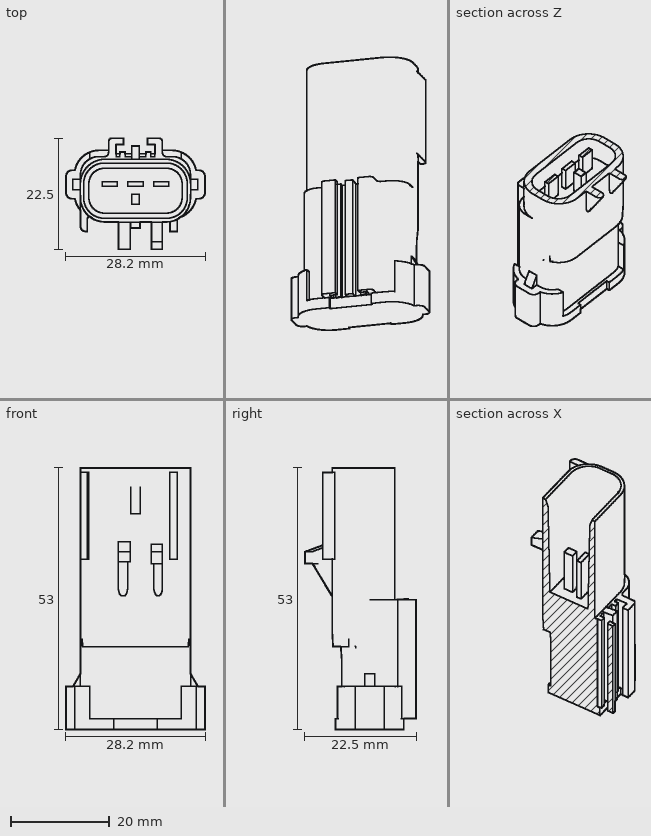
import math

import cadquery as cq

TOTAL_HEIGHT = 53.0
BODY_WIDTH = 22.3

SHELL_DEPTH = 12.7
SHELL_CENTER_Y = -1.25
SHELL_RADIUS = 4.95
SHELL_BOTTOM_Z = 19.75
SHELL_FRONT_Y = SHELL_CENTER_Y - SHELL_DEPTH / 2
SHELL_BACK_Y = SHELL_CENTER_Y + SHELL_DEPTH / 2

LIP_BOTTOM_Z = 16.8
LIP_DRAFT = 0.17
LIP_BACK_Y = -4.21

BODY_DEPTH = 11.3
BODY_TOP_Z = 26.3
BODY_FRONT_RADIUS = 3.8
BODY_BACK_RADIUS = 3.7
BODY_FRONT_Y = -BODY_DEPTH / 2
BODY_BACK_Y = BODY_DEPTH / 2
FLARE_BOTTOM_Z = 13.8
FLARE_TOP_FRONT_Y = -6.03
FLARE_TOP_CORNER_DEPTH = 2.2

RIM_WIDTH = 21.0
RIM_DEPTH = 11.2
RIM_RADIUS = 4.2
LEAD_IN_INSET = 0.62
LEAD_IN_HEIGHT = 1.8
SOCKET_FLOOR_INSET = 0.44
SOCKET_FLOOR_Z = 28.0

BLADE_WIDTH = 3.05
BLADE_THICKNESS = 1.0
BLADE_PITCH = 5.25
BLADE_Y = 0.1
KEY_PIN_WIDTH = 1.6
KEY_PIN_DEPTH = 2.05
KEY_PIN_Y = -2.95
TERMINAL_HEIGHT = 10.0

COLLAR_WIDTH = 24.8
COLLAR_DEPTH = 13.9
COLLAR_RADIUS = 5.1
COLLAR_HEIGHT = 8.74
TAB_SPAN = 28.2
TAB_DEPTH = 5.86
TAB_RADIUS = 1.35
SKIRT_HEIGHT = 2.2
COLLAR_WINDOW_WIDTH = 18.58
SKIRT_NOTCH_WIDTH = 8.85
SKIRT_NOTCH_Y = 6.27

RAMP_WIDTH = 2.06
RAMP_REACH_X = 12.65
RAMP_TOP_Z = 11.35

RAIL_OUTER_X = 5.46
RAIL_INNER_X = 3.93
RAIL_LIP_X = 2.4
RAIL_BACK_Y = 9.4
RAIL_LIP_Y = 8.08
RAIL_CORNER_RADIUS = 0.75
RAIL_ROOT_RADIUS = 0.8
SMALL_RIB_X = 2.62
SMALL_RIB_WIDTH = 1.03
SMALL_RIB_BACK_Y = 6.6
CENTER_RIB_WIDTH = 1.6
CENTER_RIB_BACK_Y = 7.8
CENTER_RIB_RISE = 0.2

FIN_BOTTOM_Z = 34.5
FIN_TOP_Z = 52.05
FIN_FRONT_Y = -9.52
LEFT_FIN_INNER_X = -9.75
LEFT_FIN_ROOT_X = -9.41
LEFT_FIN_ROOT_DROP = 0.45
LEFT_FIN_RADIUS = 1.05
RIGHT_FIN_START_X = 6.95
RIGHT_FIN_END_X = 8.48

ARM_TIP_Y = -13.11
ARM_TIP_TOP_Z = 36.0
LEFT_ARM_START_X = -3.47
LEFT_ARM_END_X = -1.03
LEFT_BRACE_END_X = -1.59
LEFT_ARM_ROOT_TOP_Z = 38.05
LEFT_ARM_BOTTOM_Z = 34.0
RIGHT_ARM_START_X = 3.22
RIGHT_ARM_END_X = 5.47
RIGHT_BRACE_START_X = 3.72
RIGHT_ARM_ROOT_TOP_Z = 37.55
RIGHT_ARM_BOTTOM_Z = 33.6
RIGHT_ARM_FLAT_Y = -11.6
BRACE_TILT = 30.8
BRACE_TANGENT_Z = 28.75
WEDGE_WIDTH = 1.92
WEDGE_FRONT_Y = -8.83
WEDGE_TOP_Z = 49.1
WEDGE_SHOULDER_Z = 44.7
WEDGE_BOTTOM_Z = 43.7

ARC_MIDDLE = 1 - math.sqrt(0.5)
OVERLAP = 1.0


def box(x_range, y_range, z_range):
    """Axis-aligned block between the given limits."""
    (x0, x1), (y0, y1), (z0, z1) = x_range, y_range, z_range
    return cq.Workplane("XY").box(x1 - x0, y1 - y0, z1 - z0, centered=False).translate((x0, y0, z0))


def centered_box(x, y, width, depth, z_range):
    """Block centred on (x, y) between two heights."""
    return box((x - width / 2, x + width / 2), (y - depth / 2, y + depth / 2), z_range)


def outline(plane, width, front_y, back_y, front_radius, back_radius, front_corner_depth=None):
    """Rectangle symmetric about X = 0 with separate front and back corner radii.

    A front_corner_depth below front_radius flattens the front corners along Y.
    """
    corner_depth = front_corner_depth or front_radius
    half = width / 2
    front_cut = front_radius * ARC_MIDDLE
    depth_cut = corner_depth * ARC_MIDDLE
    back_cut = back_radius * ARC_MIDDLE
    return (
        plane.moveTo(-half + front_radius, front_y)
        .lineTo(half - front_radius, front_y)
        .threePointArc((half - front_cut, front_y + depth_cut), (half, front_y + corner_depth))
        .lineTo(half, back_y - back_radius)
        .threePointArc((half - back_cut, back_y - back_cut), (half - back_radius, back_y))
        .lineTo(-half + back_radius, back_y)
        .threePointArc((-half + back_cut, back_y - back_cut), (-half, back_y - back_radius))
        .lineTo(-half, front_y + corner_depth)
        .threePointArc((-half + front_cut, front_y + depth_cut), (-half + front_radius, front_y))
        .close()
    )


def centered_outline(plane, width, depth, radius, center_y):
    """Rounded rectangle with four equal corners."""
    return outline(plane, width, center_y - depth / 2, center_y + depth / 2, radius, radius)


def yz_prism(points, x0, x1):
    """Extrude a (Y, Z) polygon from x0 to x1."""
    return cq.Workplane("YZ").workplane(offset=x0).polyline(points).close().extrude(x1 - x0)


def shell_prism(bottom_z, top_z):
    plane = cq.Workplane("XY").workplane(offset=bottom_z)
    profile = centered_outline(plane, BODY_WIDTH, SHELL_DEPTH, SHELL_RADIUS, SHELL_CENTER_Y)
    return profile.extrude(top_z - bottom_z)


def shell_lip():
    """Drafted continuation of the shell front, ending at the ledge."""
    plane = cq.Workplane("XY").workplane(offset=LIP_BOTTOM_Z)
    lower = centered_outline(
        plane,
        BODY_WIDTH - 2 * LIP_DRAFT,
        SHELL_DEPTH - 2 * LIP_DRAFT,
        SHELL_RADIUS - LIP_DRAFT,
        SHELL_CENTER_Y,
    )
    plane = lower.workplane(offset=SHELL_BOTTOM_Z - LIP_BOTTOM_Z)
    upper = centered_outline(plane, BODY_WIDTH, SHELL_DEPTH, SHELL_RADIUS, SHELL_CENTER_Y)
    front_zone = box(
        (-BODY_WIDTH / 2, BODY_WIDTH / 2),
        (SHELL_FRONT_Y, LIP_BACK_Y),
        (LIP_BOTTOM_Z, SHELL_BOTTOM_Z),
    )
    return upper.loft(ruled=True).intersect(front_zone)


def lower_body():
    profile = outline(
        cq.Workplane("XY"), BODY_WIDTH, BODY_FRONT_Y, BODY_BACK_Y, BODY_FRONT_RADIUS, BODY_BACK_RADIUS
    )
    return profile.extrude(BODY_TOP_Z)


def body_flare():
    """Corners opening from the body section up to the shell, held inside the shell outline."""
    lower = outline(
        cq.Workplane("XY").workplane(offset=FLARE_BOTTOM_Z),
        BODY_WIDTH, BODY_FRONT_Y, BODY_BACK_Y, BODY_FRONT_RADIUS, BODY_BACK_RADIUS,
    )
    upper = outline(
        lower.workplane(offset=SHELL_BOTTOM_Z - FLARE_BOTTOM_Z),
        BODY_WIDTH, FLARE_TOP_FRONT_Y, BODY_BACK_Y, BODY_FRONT_RADIUS, BODY_BACK_RADIUS,
        FLARE_TOP_CORNER_DEPTH,
    )
    return upper.loft(ruled=True).intersect(shell_prism(FLARE_BOTTOM_Z, SHELL_BOTTOM_Z))


def socket_section(plane, inset):
    return centered_outline(
        plane, RIM_WIDTH - 2 * inset, RIM_DEPTH - 2 * inset, RIM_RADIUS - inset, SHELL_CENTER_Y
    )


def socket():
    """Drafted cavity with a wider lead-in at the rim."""
    throat_z = TOTAL_HEIGHT - LEAD_IN_HEIGHT
    rim = socket_section(cq.Workplane("XY").workplane(offset=TOTAL_HEIGHT), 0)
    lead_in = socket_section(rim.workplane(offset=-LEAD_IN_HEIGHT), LEAD_IN_INSET).loft(ruled=True)
    throat = socket_section(cq.Workplane("XY").workplane(offset=throat_z), LEAD_IN_INSET)
    floor_plane = throat.workplane(offset=SOCKET_FLOOR_Z - throat_z)
    cavity = socket_section(floor_plane, LEAD_IN_INSET + SOCKET_FLOOR_INSET).loft(ruled=True)
    return lead_in.union(cavity)


def terminals():
    heights = (SOCKET_FLOOR_Z - OVERLAP, SOCKET_FLOOR_Z + TERMINAL_HEIGHT)
    pins = centered_box(0, KEY_PIN_Y, KEY_PIN_WIDTH, KEY_PIN_DEPTH, heights)
    for position in (-1, 0, 1):
        pins = pins.union(
            centered_box(position * BLADE_PITCH, BLADE_Y, BLADE_WIDTH, BLADE_THICKNESS, heights)
        )
    return pins


def base_collar():
    """Collar with side tabs, open front and back windows and a notched skirt."""
    collar = centered_outline(cq.Workplane("XY"), COLLAR_WIDTH, COLLAR_DEPTH, COLLAR_RADIUS, 0)
    collar = collar.extrude(COLLAR_HEIGHT)
    tabs = centered_box(0, 0, TAB_SPAN, TAB_DEPTH, (0, COLLAR_HEIGHT)).edges("|Z").fillet(TAB_RADIUS)
    collar = collar.union(tabs)
    window = centered_box(0, 0, COLLAR_WINDOW_WIDTH, COLLAR_DEPTH, (SKIRT_HEIGHT, COLLAR_HEIGHT))
    collar = collar.cut(window)
    for notch_y in (-COLLAR_DEPTH / 2, SKIRT_NOTCH_Y):
        notch = box(
            (-SKIRT_NOTCH_WIDTH / 2, SKIRT_NOTCH_WIDTH / 2),
            (notch_y, notch_y + COLLAR_DEPTH / 2 - SKIRT_NOTCH_Y),
            (0, SKIRT_HEIGHT),
        )
        collar = collar.cut(notch)
    return collar


def side_ramp():
    """Ramp on the +X side, rising from the tab to the body wall."""
    wall_x = BODY_WIDTH / 2
    points = [
        (wall_x - OVERLAP, COLLAR_HEIGHT - OVERLAP),
        (RAMP_REACH_X, COLLAR_HEIGHT - OVERLAP),
        (RAMP_REACH_X, COLLAR_HEIGHT),
        (wall_x, RAMP_TOP_Z),
        (wall_x - OVERLAP, RAMP_TOP_Z),
    ]
    return cq.Workplane("XZ").polyline(points).close().extrude(RAMP_WIDTH / 2, both=True)


def rail():
    """Hooked rail on the +X half of the back wall, with a rounded outer root."""
    root_y = BODY_BACK_Y - OVERLAP
    root_x = RAIL_OUTER_X + RAIL_ROOT_RADIUS
    root_cut = RAIL_ROOT_RADIUS * ARC_MIDDLE
    corner_cut = RAIL_CORNER_RADIUS * ARC_MIDDLE
    profile = (
        cq.Workplane("XY", origin=(0, 0, SKIRT_HEIGHT))
        .moveTo(RAIL_INNER_X, root_y)
        .lineTo(root_x, root_y)
        .lineTo(root_x, BODY_BACK_Y)
        .threePointArc(
            (RAIL_OUTER_X + root_cut, BODY_BACK_Y + root_cut),
            (RAIL_OUTER_X, BODY_BACK_Y + RAIL_ROOT_RADIUS),
        )
        .lineTo(RAIL_OUTER_X, RAIL_BACK_Y - RAIL_CORNER_RADIUS)
        .threePointArc(
            (RAIL_OUTER_X - corner_cut, RAIL_BACK_Y - corner_cut),
            (RAIL_OUTER_X - RAIL_CORNER_RADIUS, RAIL_BACK_Y),
        )
        .lineTo(RAIL_LIP_X, RAIL_BACK_Y)
        .lineTo(RAIL_LIP_X, RAIL_LIP_Y)
        .lineTo(RAIL_INNER_X, RAIL_LIP_Y)
        .close()
    )
    return profile.extrude(BODY_TOP_Z - SKIRT_HEIGHT)


def small_rib():
    """Shallow rib between the rail and the centre rib, on the +X half."""
    return box(
        (SMALL_RIB_X - SMALL_RIB_WIDTH / 2, SMALL_RIB_X + SMALL_RIB_WIDTH / 2),
        (BODY_BACK_Y - OVERLAP, SMALL_RIB_BACK_Y),
        (SKIRT_HEIGHT, BODY_TOP_Z),
    )


def center_rib():
    """Rib on the back centreline whose top rises slightly away from the shell."""
    points = [
        (SHELL_BACK_Y - OVERLAP / 2, SKIRT_HEIGHT),
        (CENTER_RIB_BACK_Y, SKIRT_HEIGHT),
        (CENTER_RIB_BACK_Y, BODY_TOP_Z + CENTER_RIB_RISE),
        (SHELL_BACK_Y, BODY_TOP_Z),
        (SHELL_BACK_Y - OVERLAP / 2, BODY_TOP_Z),
    ]
    return yz_prism(points, -CENTER_RIB_WIDTH / 2, CENTER_RIB_WIDTH / 2)


def left_fin():
    """Fin flush with the -X side of the shell."""
    outer_x = -BODY_WIDTH / 2
    arc_center_x = outer_x + SHELL_RADIUS
    arc_center_y = SHELL_FRONT_Y + SHELL_RADIUS
    root_y = arc_center_y - math.sqrt(SHELL_RADIUS**2 - (LEFT_FIN_ROOT_X - arc_center_x) ** 2)
    corner_cut = LEFT_FIN_RADIUS * ARC_MIDDLE
    profile = (
        cq.Workplane("XY", origin=(0, 0, FIN_BOTTOM_Z))
        .moveTo(outer_x, arc_center_y)
        .lineTo(outer_x, FIN_FRONT_Y + LEFT_FIN_RADIUS)
        .threePointArc(
            (outer_x + corner_cut, FIN_FRONT_Y + corner_cut),
            (outer_x + LEFT_FIN_RADIUS, FIN_FRONT_Y),
        )
        .lineTo(LEFT_FIN_INNER_X, FIN_FRONT_Y)
        .lineTo(LEFT_FIN_INNER_X, root_y - LEFT_FIN_ROOT_DROP)
        .lineTo(LEFT_FIN_ROOT_X, root_y)
        .close()
    )
    return profile.extrude(FIN_TOP_Z - FIN_BOTTOM_Z)


def right_fin():
    return box(
        (RIGHT_FIN_START_X, RIGHT_FIN_END_X),
        (FIN_FRONT_Y, SHELL_FRONT_Y + OVERLAP),
        (FIN_BOTTOM_Z, FIN_TOP_Z),
    )


def brace(x0, x1, arm_bottom_z):
    """Slanted round-bottomed brace under a latch arm, filled up to the arm."""
    tilt = math.radians(BRACE_TILT)
    radius = (x1 - x0) / 2
    run = math.tan(tilt)
    start_y = SHELL_FRONT_Y + OVERLAP
    start_z = BRACE_TANGENT_Z - OVERLAP / run
    top_z = arm_bottom_z + OVERLAP
    top_y = start_y - (top_z - start_z) * run
    web = yz_prism([(start_y, start_z), (top_y, top_z), (start_y, top_z)], x0, x1)
    axis = cq.Vector(0, -math.sin(tilt), math.cos(tilt))
    length = (top_z - start_z) / math.cos(tilt) + 2 * radius
    rod = cq.Solid.makeCylinder(radius, length, cq.Vector((x0 + x1) / 2, start_y, start_z), axis)
    keep = box((x0, x1), (ARM_TIP_Y, start_y), (start_z, top_z))
    return web.union(cq.Workplane(obj=rod)).intersect(keep)


def latch_arm(x_range, brace_range, root_top_z, bottom_z, slope_end_y):
    """Arm with a sloping top that levels out at slope_end_y, carried by a brace."""
    root_y = SHELL_FRONT_Y
    points = [
        (root_y + OVERLAP, bottom_z),
        (ARM_TIP_Y, bottom_z),
        (ARM_TIP_Y, ARM_TIP_TOP_Z),
    ]
    if slope_end_y > ARM_TIP_Y:
        points.append((slope_end_y, ARM_TIP_TOP_Z))
    points.append((root_y, root_top_z))
    points.append((root_y + OVERLAP, root_top_z))
    return yz_prism(points, *x_range).union(brace(*brace_range, bottom_z))


def stop_wedge():
    points = [
        (SHELL_FRONT_Y + OVERLAP / 2, WEDGE_BOTTOM_Z),
        (WEDGE_FRONT_Y, WEDGE_BOTTOM_Z),
        (WEDGE_FRONT_Y, WEDGE_SHOULDER_Z),
        (SHELL_FRONT_Y, WEDGE_TOP_Z),
        (SHELL_FRONT_Y + OVERLAP / 2, WEDGE_TOP_Z),
    ]
    return yz_prism(points, -WEDGE_WIDTH / 2, WEDGE_WIDTH / 2)


body = lower_body().union(body_flare()).union(shell_lip())
body = body.union(shell_prism(SHELL_BOTTOM_Z, TOTAL_HEIGHT)).union(base_collar())

for mirrored_feature in (side_ramp(), rail(), small_rib()):
    body = body.union(mirrored_feature).union(mirrored_feature.mirror("YZ"))

left_arm = latch_arm(
    (LEFT_ARM_START_X, LEFT_ARM_END_X),
    (LEFT_ARM_START_X, LEFT_BRACE_END_X),
    LEFT_ARM_ROOT_TOP_Z, LEFT_ARM_BOTTOM_Z, ARM_TIP_Y,
)
right_arm = latch_arm(
    (RIGHT_ARM_START_X, RIGHT_ARM_END_X),
    (RIGHT_BRACE_START_X, RIGHT_ARM_END_X),
    RIGHT_ARM_ROOT_TOP_Z, RIGHT_ARM_BOTTOM_Z, RIGHT_ARM_FLAT_Y,
)
for front_feature in (left_fin(), right_fin(), left_arm, right_arm, stop_wedge()):
    body = body.union(front_feature)

result = body.union(center_rib()).cut(socket()).union(terminals())